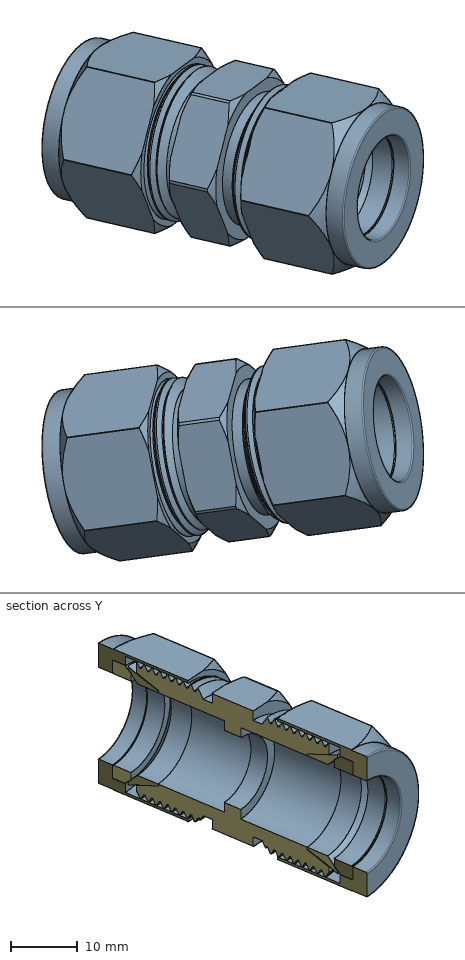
import cadquery as cq
import math


end_x = -26.0
nut_flats = 25.0
nut_corner_radius = 14.405
nut_inner_x = -8.6
collar_length = 3.0
collar_radius = 12.45
collar_edge_fillet = 0.2
nut_outer_chamfer_radius = 12.5
nut_outer_chamfer_angle = 45.0
nut_inner_chamfer_radius = 13.0
tube_clearance_radius = 8.08
lip_length = 2.85

body_flats = 24.0
body_corner_radius = 13.72
body_hex_half_length = 4.0
body_hex_chamfer_radius = 12.45
hex_chamfer_angle = 60.0

neck_radius = 10.35
neck_end_x = -5.65
thread_radius = 12.0
thread_chamfer_angle = 57.0
thread_pitch = 1.5
thread_start_angle = 282
body_end_x = end_x + 7.4
flow_radius = 6.35
tube_radius = 8.05
tube_stop_x = end_x + 24.4

lip_x = end_x + lip_length
back_ferrule_radius = 10.4
back_ferrule_edge_chamfer = 0.2
back_ferrule_nose_x = end_x + 6.4
front_ferrule_cone_tip_x = end_x + 7.65
front_ferrule_rear_x = end_x + 5.75
front_ferrule_nose_x = end_x + 11.6
front_ferrule_nose_radius = 8.4
ferrule_seat_angle = 20.0

thread_depth = 0.6134 * thread_pitch
thread_root_width = thread_pitch / 8
thread_flank_angle = 30.0
thread_overcut = 0.05
thread_overrun = 1.8


def slope(angle):
    return math.tan(math.radians(angle))


def turned(points):
    """Solid of revolution about X from (x, radius) points."""
    return cq.Workplane("XY").polyline(points).close().revolve(360, (0, 0, 0), (1, 0, 0))


def bored(start_x, end_x, radius):
    """Round bar along X, used as stock or as the cutter of a bore."""
    return cq.Workplane("YZ", origin=(start_x, 0, 0)).circle(radius).extrude(end_x - start_x)


def hexagon(start_x, end_x, flats):
    """Hexagonal bar along X with two flats facing up and down."""
    corner_diameter = flats / math.cos(math.pi / 6)
    return cq.Workplane("YZ", origin=(start_x, 0, 0)).polygon(6, corner_diameter).extrude(end_x - start_x)


def recess_radius(x):
    """Radius at x of the 45 degree cone in which the back ferrule meets the front ferrule."""
    return tube_radius + front_ferrule_cone_tip_x - x


def seat_radius(x):
    """Radius at x of the cone in which the front ferrule meets the body."""
    return front_ferrule_nose_radius + (front_ferrule_nose_x - x) * slope(ferrule_seat_angle)


def make_nut():
    hex_x = end_x + collar_length
    outer_run = (nut_corner_radius - nut_outer_chamfer_radius) / slope(nut_outer_chamfer_angle)
    inner_run = (nut_corner_radius - nut_inner_chamfer_radius) / slope(hex_chamfer_angle)
    envelope = turned([
        (hex_x, 0),
        (hex_x, nut_outer_chamfer_radius),
        (hex_x + outer_run, nut_corner_radius),
        (nut_inner_x - inner_run, nut_corner_radius),
        (nut_inner_x, nut_inner_chamfer_radius),
        (nut_inner_x, 0),
    ])
    collar = bored(end_x, hex_x, collar_radius).cut(bored(end_x, hex_x, tube_clearance_radius))
    collar = collar.faces("<X").edges().fillet(collar_edge_fillet)
    nut = hexagon(hex_x, nut_inner_x, nut_flats).intersect(envelope)
    pocket_end_x = front_ferrule_cone_tip_x + tube_radius - back_ferrule_radius
    nut = nut.cut(bored(hex_x, nut_inner_x, tube_clearance_radius)).union(collar)
    nut = nut.cut(bored(lip_x, nut_inner_x, back_ferrule_radius))
    return nut.cut(bored(pocket_end_x, nut_inner_x, thread_radius))


def make_thread_groove():
    """Helical cutter of the thread, which runs past both of its ends."""
    start_x = body_end_x - thread_overrun
    root_radius = thread_radius - thread_depth
    outer_radius = thread_radius + thread_overcut
    root_half = thread_root_width / 2
    outer_half = root_half + (outer_radius - root_radius) * slope(thread_flank_angle)
    path = cq.Wire.makeHelix(thread_pitch, neck_end_x + thread_overrun - start_x, root_radius)
    groove = (
        cq.Workplane("XZ")
        .polyline([
            (root_radius, -root_half),
            (outer_radius, -outer_half),
            (outer_radius, outer_half),
            (root_radius, root_half),
        ])
        .close()
        .sweep(cq.Workplane(path), isFrenet=True)
    )
    groove = groove.rotate((0, 0, 0), (0, 0, 1), thread_start_angle)
    return groove.rotate((0, 0, 0), (0, 1, 0), 90).translate((start_x, 0, 0))


def make_threaded_end():
    chamfer_run = (thread_radius - neck_radius) / slope(thread_chamfer_angle)
    outline = turned([
        (body_end_x, 0),
        (body_end_x, thread_radius),
        (neck_end_x - chamfer_run, thread_radius),
        (neck_end_x, neck_radius),
        (0, neck_radius),
        (0, 0),
    ])
    mouth = turned([
        (body_end_x, 0),
        (body_end_x, seat_radius(body_end_x)),
        (front_ferrule_nose_x, front_ferrule_nose_radius),
        (front_ferrule_nose_x, tube_radius),
        (tube_stop_x, tube_radius),
        (tube_stop_x, 0),
    ])
    threaded_bar = bored(body_end_x - 2 * thread_overrun, 0, thread_radius).cut(make_thread_groove())
    return threaded_bar.intersect(outline).cut(mouth)


def make_body():
    chamfer_run = (body_corner_radius - body_hex_chamfer_radius) / slope(hex_chamfer_angle)
    envelope = turned([
        (-body_hex_half_length, 0),
        (-body_hex_half_length, body_hex_chamfer_radius),
        (-body_hex_half_length + chamfer_run, body_corner_radius),
        (body_hex_half_length - chamfer_run, body_corner_radius),
        (body_hex_half_length, body_hex_chamfer_radius),
        (body_hex_half_length, 0),
    ])
    grip = hexagon(-body_hex_half_length, body_hex_half_length, body_flats).intersect(envelope)
    grip = grip.cut(bored(tube_stop_x, -tube_stop_x, flow_radius))
    socket = bored(-body_hex_half_length, tube_stop_x, tube_radius)
    grip = grip.cut(socket).cut(opposite(socket))
    end = make_threaded_end().cut(bored(tube_stop_x, 0, flow_radius))
    return grip.union(end).union(opposite(end))


def make_front_ferrule():
    return turned([
        (front_ferrule_cone_tip_x, tube_radius),
        (front_ferrule_rear_x, recess_radius(front_ferrule_rear_x)),
        (front_ferrule_rear_x, seat_radius(front_ferrule_rear_x)),
        (front_ferrule_nose_x, front_ferrule_nose_radius),
        (front_ferrule_nose_x, tube_radius),
    ])


def make_back_ferrule():
    return turned([
        (lip_x + back_ferrule_edge_chamfer, tube_radius),
        (lip_x, tube_radius + back_ferrule_edge_chamfer),
        (lip_x, back_ferrule_radius),
        (front_ferrule_cone_tip_x + tube_radius - back_ferrule_radius, back_ferrule_radius),
        (back_ferrule_nose_x, recess_radius(back_ferrule_nose_x)),
        (back_ferrule_nose_x, tube_radius),
    ])


def opposite(part):
    """The same part at the +X end."""
    return part.rotate((0, 0, 0), (0, 0, 1), 180)


bodies = [make_body().val()]
for make_part in (make_nut, make_front_ferrule, make_back_ferrule):
    part = make_part()
    bodies += [part.val(), opposite(part).val()]

result = cq.Compound.makeCompound(bodies)